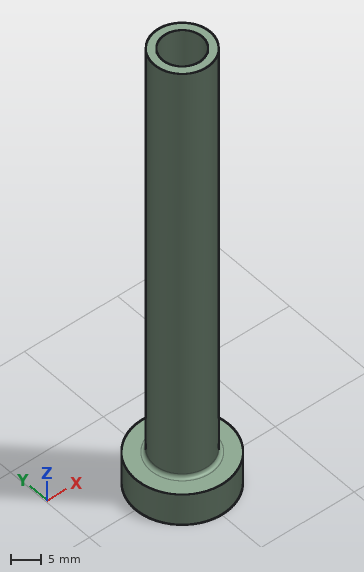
import cadquery as cq

total_length = 100.0
head_diameter = 20.0
head_height = 7.0
shank_diameter = 12.0
bore_diameter = 8.5
fillet_radius = 0.8

head = cq.Workplane("XY").circle(head_diameter / 2).extrude(head_height)

shank = cq.Workplane("XY").circle(shank_diameter / 2).extrude(total_length)
sleeve = head.union(shank)

head_top = cq.selectors.NearestToPointSelector((0, 0, head_height))
smallest_circle = cq.selectors.RadiusNthSelector(0)
sleeve = sleeve.faces(head_top).edges(smallest_circle).fillet(fillet_radius)

bore = cq.Workplane("XY").circle(bore_diameter / 2).extrude(total_length)
result = sleeve.cut(bore)